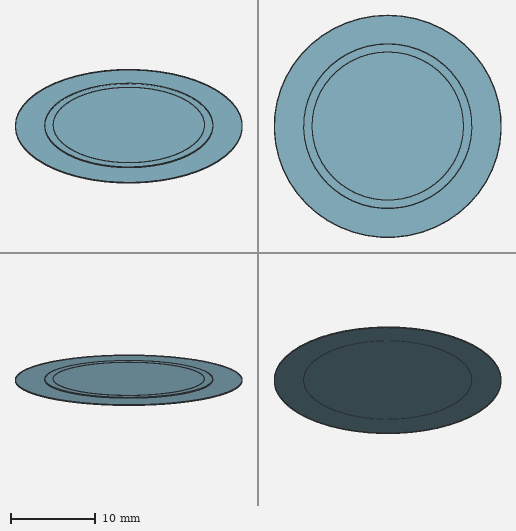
import cadquery as cq

plate_diameter = 27.0
ceramic_diameter = 20.0
electrode_diameter = 18.0

total_height = 0.23
plate_thickness = 0.1
ceramic_thickness = 0.12
electrode_thickness = total_height - plate_thickness - ceramic_thickness


def add_disc(body, diameter, thickness):
    """Stack a centred disc on the top face of the body."""
    return body.faces(">Z").workplane(origin=(0, 0, 0)).circle(diameter / 2).extrude(thickness)


plate = cq.Workplane("XY").circle(plate_diameter / 2).extrude(plate_thickness)
plate_with_ceramic = add_disc(plate, ceramic_diameter, ceramic_thickness)
result = add_disc(plate_with_ceramic, electrode_diameter, electrode_thickness)